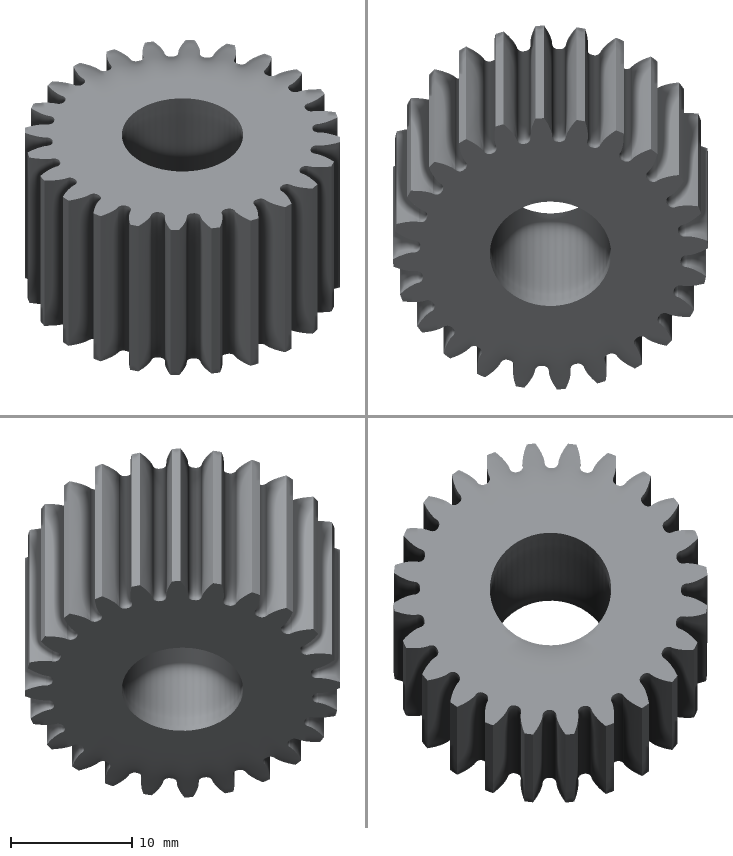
import cadquery as cq
import math

tooth_module = 1.0
tooth_count = 24
pressure_angle = 20.0
face_width = 15.0
bore_diameter = 10.0

addendum = tooth_module
dedendum = 1.25 * tooth_module
pitch_radius = tooth_module * tooth_count / 2
tip_radius = pitch_radius + addendum
root_radius = pitch_radius - dedendum
base_radius = pitch_radius * math.cos(math.radians(pressure_angle))
tooth_pitch = 2 * math.pi / tooth_count
root_fillet = 0.5 * tooth_module
flank_steps = 6


def involute(angle):
    """Polar angle swept by an involute where its pressure angle is `angle`."""
    return math.tan(angle) - angle


half_base_angle = tooth_pitch / 4 + involute(math.radians(pressure_angle))


def polar(radius, angle):
    return (radius * math.cos(angle), radius * math.sin(angle))


def flank_points(tooth_angle, side):
    """Involute flank from the base circle to the tip; side is -1 or +1."""
    points = []
    for step in range(flank_steps + 1):
        radius = base_radius + (tip_radius - base_radius) * step / flank_steps
        sweep = involute(math.acos(base_radius / radius))
        points.append(polar(radius, tooth_angle + side * (half_base_angle - sweep)))
    return points


def add_root(outline, gap_angle):
    """Continue from one flank to the next: radial wall, fillet, land, fillet, radial wall."""
    half_gap_angle = tooth_pitch / 2 - half_base_angle
    center_radius = root_radius + root_fillet
    inset_angle = math.asin(root_fillet / center_radius)
    half_land_angle = half_gap_angle - inset_angle
    wall_end_radius = center_radius * math.cos(inset_angle)

    def fillet_points(side):
        """Wall end, mid-arc point and land end of the fillet on one side of the gap."""
        center_angle = gap_angle + side * half_land_angle
        wall_end = polar(wall_end_radius, gap_angle + side * half_gap_angle)
        land_end = polar(root_radius, center_angle)
        center = polar(center_radius, center_angle)
        turn_angle = math.pi / 2 - inset_angle
        middle_angle = center_angle + math.pi - side * turn_angle / 2
        offset = polar(root_fillet, middle_angle)
        return wall_end, (center[0] + offset[0], center[1] + offset[1]), land_end

    first_wall, first_middle, first_land = fillet_points(-1)
    second_wall, second_middle, second_land = fillet_points(1)
    outline = outline.lineTo(*first_wall)
    outline = outline.threePointArc(first_middle, first_land)
    outline = outline.threePointArc(polar(root_radius, gap_angle), second_land)
    outline = outline.threePointArc(second_middle, second_wall)
    return outline.lineTo(*polar(base_radius, gap_angle + half_gap_angle))


def gear_outline():
    """Closed outline: per tooth a flank, a tip arc, a flank and a filleted root."""
    outline = cq.Workplane("XY").moveTo(*flank_points(0, -1)[0])
    for tooth in range(tooth_count):
        tooth_angle = tooth * tooth_pitch
        rising = flank_points(tooth_angle, -1)
        falling = flank_points(tooth_angle, 1)[::-1]
        outline = outline.spline(rising[1:], includeCurrent=True)
        outline = outline.threePointArc(polar(tip_radius, tooth_angle), falling[0])
        outline = outline.spline(falling[1:], includeCurrent=True)
        outline = add_root(outline, tooth_angle + tooth_pitch / 2)
    return outline.close()


def bore():
    return cq.Workplane("XY").circle(bore_diameter / 2).extrude(face_width)


result = gear_outline().extrude(face_width).cut(bore())